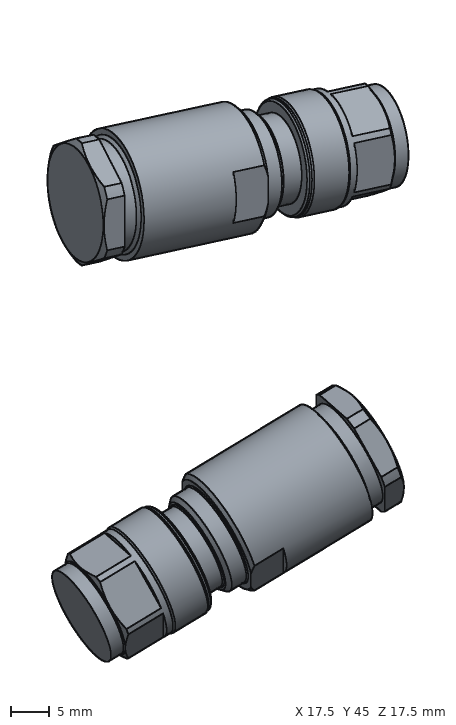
import cadquery as cq
import math

LENGTH = 45.0

CLAMP_NUT_ROUND = 17.5
CLAMP_NUT_FLATS = 15.95
CLAMP_NUT_FACE = 15.7
CLAMP_NUT_LENGTH = 3.05

GROOVE_DIAMETER = 14.95
SHOULDER_DIAMETER = 15.85
SHOULDER_START = 5.05
SHOULDER_LENGTH = 0.45

BODY_DIAMETER = CLAMP_NUT_ROUND
BODY_START = SHOULDER_START + SHOULDER_LENGTH
BODY_END = 23.95
BODY_CHAMFER = 0.55
BODY_FLATS = CLAMP_NUT_FLATS
BODY_FLAT_LENGTH = 5.05

ROOT_FLARE = 0.2

COLLAR_DIAMETER = 14.3
COLLAR_END = 26.95
COLLAR_CHAMFER = 0.6
NECK_DIAMETER = 12.1

RING_START = 29.85
RING_LENGTH = 6.15
RING_DIAMETER = 15.98
RING_STEP = 0.158
RING_STEP_LENGTH = 0.25
RING_LIP_LENGTH = 0.6
RING_EDGE_CHAMFER = 0.25

COUPLING_ROUND = RING_DIAMETER - 2 * RING_STEP
COUPLING_FLATS = 14.0
COUPLING_HEX_START = 37.0
COUPLING_HEX_END = 42.9
SLEEVE_DIAMETER = 13.7

NUT_CHAMFER_ANGLE = math.radians(30)

HALF_HEX_ANGLE = 30


def nut_chamfer_length(outer_diameter, inner_diameter):
    """Axial length of the conical chamfer between two diameters of a nut."""
    return (outer_diameter - inner_diameter) / 2 * math.tan(NUT_CHAMFER_ANGLE)


def hexagon(flats, start, end):
    """Hexagonal bar along Y with two of its faces normal to X."""
    across_corners = flats / math.cos(math.radians(HALF_HEX_ANGLE))
    return (
        cq.Workplane("XZ", origin=(0, start, 0))
        .polygon(6, across_corners)
        .extrude(start - end)
        .rotate((0, 0, 0), (0, 1, 0), HALF_HEX_ANGLE)
    )


def turned(profile):
    """Solid of revolution about Y from (diameter, station) points, closed on the axis."""
    first_station = profile[0][1]
    last_station = profile[-1][1]
    outline = [(0, first_station)]
    outline += [(diameter / 2, station) for diameter, station in profile]
    outline.append((0, last_station))
    return cq.Workplane("XY").polyline(outline).close().revolve(360, (0, 0, 0), (0, 1, 0))


def clamping_nut():
    chamfer = nut_chamfer_length(CLAMP_NUT_ROUND, CLAMP_NUT_FACE)
    blank = turned([
        (CLAMP_NUT_FACE, 0),
        (CLAMP_NUT_ROUND, chamfer),
        (CLAMP_NUT_ROUND, CLAMP_NUT_LENGTH),
    ])
    return blank.intersect(hexagon(CLAMP_NUT_FLATS, 0, CLAMP_NUT_LENGTH))


def shoulder():
    return turned([
        (GROOVE_DIAMETER, CLAMP_NUT_LENGTH),
        (GROOVE_DIAMETER, SHOULDER_START),
        (SHOULDER_DIAMETER, BODY_START),
    ])


def body():
    barrel = turned([
        (BODY_DIAMETER, BODY_START),
        (BODY_DIAMETER, BODY_END - BODY_CHAMFER),
        (BODY_DIAMETER - 2 * BODY_CHAMFER, BODY_END),
    ])
    flat_depth = (BODY_DIAMETER - BODY_FLATS) / 2
    for side in (-1, 1):
        cutter = cq.Workplane("XY").box(flat_depth, BODY_FLAT_LENGTH, BODY_DIAMETER)
        cutter_x = side * (BODY_FLATS + flat_depth) / 2
        barrel = barrel.cut(cutter.translate((cutter_x, BODY_END - BODY_FLAT_LENGTH / 2, 0)))
    return barrel


def collar_and_neck():
    return turned([
        (COLLAR_DIAMETER + 2 * ROOT_FLARE, BODY_END),
        (COLLAR_DIAMETER, BODY_END + ROOT_FLARE),
        (COLLAR_DIAMETER, COLLAR_END - COLLAR_CHAMFER),
        (COLLAR_DIAMETER - 2 * COLLAR_CHAMFER, COLLAR_END),
        (NECK_DIAMETER + 2 * ROOT_FLARE, COLLAR_END),
        (NECK_DIAMETER, COLLAR_END + ROOT_FLARE),
        (NECK_DIAMETER, RING_START),
    ])


def grip_ring():
    ring_end = RING_START + RING_LENGTH
    lip_end = RING_START + RING_LIP_LENGTH
    return turned([
        (COUPLING_ROUND - 2 * RING_EDGE_CHAMFER, RING_START),
        (COUPLING_ROUND, RING_START + RING_EDGE_CHAMFER),
        (COUPLING_ROUND, lip_end),
        (RING_DIAMETER, lip_end + RING_STEP_LENGTH),
        (RING_DIAMETER, ring_end - RING_STEP_LENGTH),
        (COUPLING_ROUND, ring_end),
        (COUPLING_ROUND, COUPLING_HEX_START),
    ])


def coupling_hexagon():
    chamfer = nut_chamfer_length(COUPLING_ROUND, COUPLING_FLATS)
    blank = turned([
        (COUPLING_ROUND, COUPLING_HEX_START),
        (COUPLING_ROUND, COUPLING_HEX_END - chamfer),
        (COUPLING_FLATS, COUPLING_HEX_END),
    ])
    return blank.intersect(hexagon(COUPLING_FLATS, COUPLING_HEX_START, COUPLING_HEX_END))


def end_sleeve():
    return turned([
        (SLEEVE_DIAMETER + 2 * ROOT_FLARE, COUPLING_HEX_END),
        (SLEEVE_DIAMETER, COUPLING_HEX_END + ROOT_FLARE),
        (SLEEVE_DIAMETER, LENGTH),
    ])


result = (
    clamping_nut()
    .union(shoulder())
    .union(body())
    .union(collar_and_neck())
    .union(grip_ring())
    .union(coupling_hexagon())
    .union(end_sleeve())
)